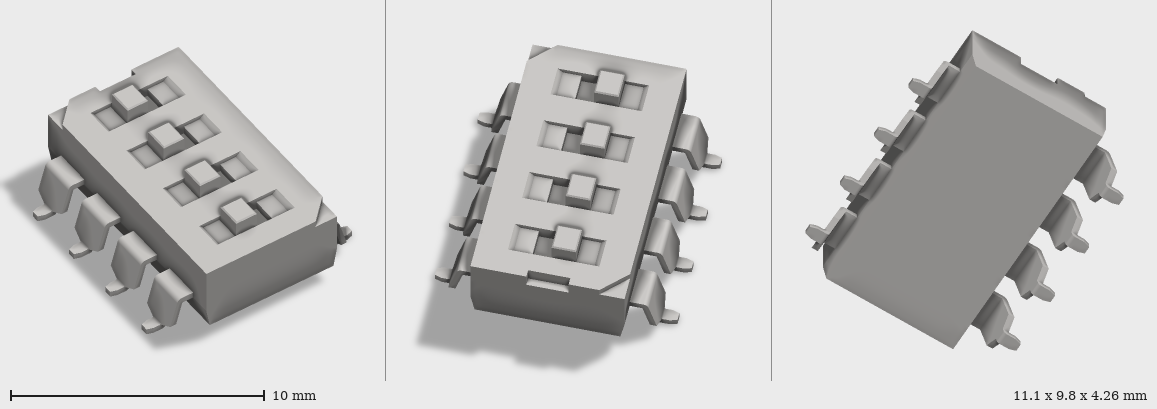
import cadquery as cq
import math


BODY_LENGTH = 11.1
BODY_WIDTH = 6.23
BODY_BOTTOM = 0.71
BODY_TOP = 3.65
BOTTOM_WIDTH = 5.89
TAPER_TOP = 1.58
COVER_THICKNESS = 0.57

CORNER_LEG = 1.02
CORNER_DEPTH = 0.3
NOTCH_WIDTH = 1.71
NOTCH_DEPTH = 0.31

POSITIONS = 4
PITCH = 2.54
SLOT_WIDTH = 1.27
SLOT_LENGTH = 3.7
SHELF_LENGTH = 3.26
SHELF_DEPTH = 0.2
WELL_LENGTH = 1.76
WELL_DEPTH = 0.57

KNOB_WIDTH = 1.1
KNOB_LENGTH = 0.99
KNOB_TOP = 4.26
KNOB_CHAMFER = 0.05

OVERALL_WIDTH = 9.8
LEAD_WIDTH = 1.63
LEAD_THICKNESS = 0.27
LEAD_TOP = 1.85
LEAD_BEND_Y = 3.63
LEAD_LEAN = 16.0
LEAD_ROOT = 0.55
BEND_RADIUS = 0.22
HEEL_RADIUS = 0.15
TOE_BLEND_RADIUS = 0.09
SHOULDER_HEIGHT = 0.54
TOE_WIDTH = 0.51
TIP_WIDTH = 0.33
TIP_LENGTH = 0.29

position_xs = [(i - (POSITIONS - 1) / 2) * PITCH for i in range(POSITIONS)]
well_floor = BODY_TOP - WELL_DEPTH


def extrude_along_x(profile, width):
    """Extrude a closed YZ profile symmetrically about X = 0."""
    return profile.close().extrude(width / 2, both=True)


def make_housing():
    """Housing with upright upper sides and lower sides leaning inwards."""
    top_y = BODY_WIDTH / 2
    bottom_y = BOTTOM_WIDTH / 2
    profile = cq.Workplane("YZ").polyline([
        (-bottom_y, BODY_BOTTOM),
        (bottom_y, BODY_BOTTOM),
        (top_y, TAPER_TOP),
        (top_y, BODY_TOP),
        (-top_y, BODY_TOP),
        (-top_y, TAPER_TOP),
    ])
    return extrude_along_x(profile, BODY_LENGTH)


def make_corner_cut():
    """Triangular step for the (-X, -Y) corner of the cover."""
    x = -BODY_LENGTH / 2
    y = -BODY_WIDTH / 2
    triangle = [(x, y), (x + CORNER_LEG, y), (x, y + CORNER_LEG)]
    return cq.Workplane("XY", origin=(0, 0, BODY_TOP)).polyline(triangle).close().extrude(-CORNER_DEPTH)


def make_notch():
    """Rectangular notch through the cover at the -X end."""
    return cq.Workplane("XY").box(
        NOTCH_DEPTH, NOTCH_WIDTH, COVER_THICKNESS, centered=(False, True, False)
    ).translate((-BODY_LENGTH / 2, 0, BODY_TOP - COVER_THICKNESS))


def make_slot():
    """Slot with sloped ends, a shallow shelf and a deeper central well."""
    shelf_z = BODY_TOP - SHELF_DEPTH
    profile = cq.Workplane("YZ").polyline([
        (-SLOT_LENGTH / 2, BODY_TOP),
        (-SHELF_LENGTH / 2, shelf_z),
        (-WELL_LENGTH / 2, shelf_z),
        (-WELL_LENGTH / 2, well_floor),
        (WELL_LENGTH / 2, well_floor),
        (WELL_LENGTH / 2, shelf_z),
        (SHELF_LENGTH / 2, shelf_z),
        (SLOT_LENGTH / 2, BODY_TOP),
    ])
    return extrude_along_x(profile, SLOT_WIDTH)


def make_knob():
    """Slider standing on the well floor, pushed to the -Y end of the well."""
    knob = cq.Workplane("XY").box(
        KNOB_WIDTH, KNOB_LENGTH, KNOB_TOP - well_floor, centered=(True, False, False)
    )
    return knob.faces(">Z").chamfer(KNOB_CHAMFER).translate((0, -WELL_LENGTH / 2, well_floor))


def make_lead():
    """Gull-wing lead on the +Y side."""
    t = LEAD_THICKNESS
    lean = math.radians(LEAD_LEAN)

    half_bend = (math.pi / 2 - lean) / 2
    root_y = BODY_WIDTH / 2 - LEAD_ROOT
    end_y = OVERALL_WIDTH / 2

    upper_inner = (LEAD_BEND_Y, LEAD_TOP - t)
    upper_outer = (LEAD_BEND_Y + t * math.tan(half_bend), LEAD_TOP)
    toe_corner = (upper_outer[0] + (LEAD_TOP - t) * math.tan(lean), t)
    heel = (upper_inner[0] + upper_inner[1] * math.tan(lean), 0)

    def bent_strip(width):
        """Bent strip with sharp corners, running from the housing to the end of the toe."""
        return extrude_along_x(
            cq.Workplane("YZ").polyline([
                (root_y, LEAD_TOP),
                upper_outer,
                toe_corner,
                (end_y, t),
                (end_y, 0),
                heel,
                upper_inner,
                (root_y, upper_inner[1]),
            ]),
            width,
        )

    def round_corner(strip, corner, radius):
        """Fillet the edge that runs along X through a corner of the profile."""
        return strip.edges(cq.NearestToPointSelector((0, *corner))).fillet(radius)

    def round_outside(strip):
        """Round the outer side of both bends."""
        strip = round_corner(strip, upper_outer, BEND_RADIUS)
        return round_corner(strip, heel, HEEL_RADIUS)

    strip = round_outside(bent_strip(LEAD_WIDTH))
    toe_strip = round_corner(round_outside(bent_strip(TOE_WIDTH)), toe_corner, TOE_BLEND_RADIUS)

    front = cq.Workplane("XZ").polyline([
        (-TOE_WIDTH / 2, 0),
        (TOE_WIDTH / 2, 0),
        (TOE_WIDTH / 2, t),
        (LEAD_WIDTH / 2, SHOULDER_HEIGHT),
        (LEAD_WIDTH / 2, LEAD_TOP),
        (-LEAD_WIDTH / 2, LEAD_TOP),
        (-LEAD_WIDTH / 2, SHOULDER_HEIGHT),
        (-TOE_WIDTH / 2, t),
    ]).close().extrude(-end_y)

    plan = cq.Workplane("XY").polyline([
        (-LEAD_WIDTH / 2, root_y),
        (LEAD_WIDTH / 2, root_y),
        (LEAD_WIDTH / 2, end_y - TIP_LENGTH),
        (TOE_WIDTH / 2, end_y - TIP_LENGTH),
        (TIP_WIDTH / 2, end_y),
        (-TIP_WIDTH / 2, end_y),
        (-TOE_WIDTH / 2, end_y - TIP_LENGTH),
        (-LEAD_WIDTH / 2, end_y - TIP_LENGTH),
    ]).close().extrude(LEAD_TOP)
    return strip.intersect(front).union(toe_strip).intersect(plan)


def half_turn(shape):
    """Turn a shape by 180 degrees about the Z axis."""
    return shape.rotate((0, 0, 0), (0, 0, 1), 180)


corner_cut = make_corner_cut()
slot = make_slot()
knob = make_knob()
lead = make_lead()

result = make_housing().cut(make_notch()).cut(corner_cut).cut(half_turn(corner_cut))
for x in position_xs:
    offset = (x, 0, 0)
    result = result.cut(slot.translate(offset)).union(knob.translate(offset))
    result = result.union(lead.translate(offset)).union(half_turn(lead).translate(offset))